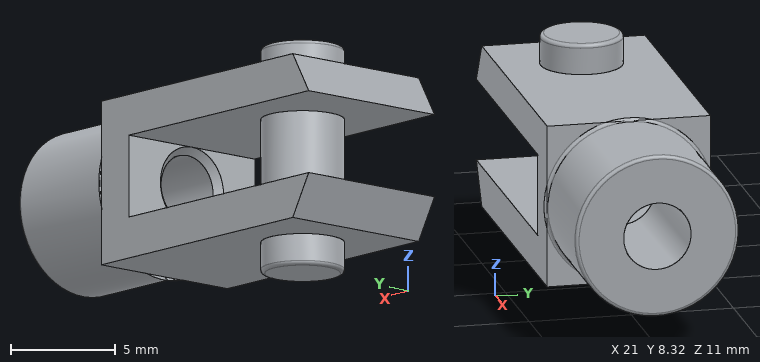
import cadquery as cq
import math

total_length = 21.0
body_width = 8.0
body_length = 15.0
slot_height = body_width / 2
slot_depth = 13.0
tip_angle = 60.0

neck_diameter = body_width
neck_edge_fillet = 0.17
root_fillet = 0.158
bore_diameter = 3.3
countersink_diameter = slot_height

pin_diameter = slot_height
pin_length = 11.0
pin_x = 5.0
pin_edge_fillet = 0.19


def make_fork():
    """Side outline of the fork, extruded across the full width."""
    outer = body_width / 2
    inner = slot_height / 2
    tip_setback = (outer - inner) / math.tan(math.radians(tip_angle))
    outline = [
        (tip_setback, outer),
        (body_length, outer),
        (body_length, -outer),
        (tip_setback, -outer),
        (0, -inner),
        (slot_depth, -inner),
        (slot_depth, inner),
        (0, inner),
    ]
    return cq.Workplane("XZ").polyline(outline).close().extrude(outer, both=True)


def make_neck():
    """Revolved neck with a concave fillet at its root and a rounded free end."""
    radius = neck_diameter / 2
    arc_offset = root_fillet * (1 - math.sqrt(0.5))
    profile = (
        cq.Workplane("XY")
        .moveTo(slot_depth, 0)
        .lineTo(slot_depth, slot_height / 2)
        .lineTo(body_length, slot_height / 2)
        .lineTo(body_length, radius + root_fillet)
        .threePointArc(
            (body_length + arc_offset, radius + arc_offset),
            (body_length + root_fillet, radius),
        )
        .lineTo(total_length, radius)
        .lineTo(total_length, 0)
        .close()
    )
    neck = profile.revolve(360, (0, 0, 0), (1, 0, 0))
    return neck.faces(">X").edges().fillet(neck_edge_fillet)


def make_bore():
    """Axial hole from the +X end into the slot, with a 45 degree countersink at the slot wall."""
    bore_radius = bore_diameter / 2
    mouth_radius = countersink_diameter / 2
    countersink_depth = mouth_radius - bore_radius
    profile = (
        cq.Workplane("XY")
        .moveTo(slot_depth, 0)
        .lineTo(slot_depth, mouth_radius)
        .lineTo(slot_depth + countersink_depth, bore_radius)
        .lineTo(total_length, bore_radius)
        .lineTo(total_length, 0)
        .close()
    )
    return profile.revolve(360, (0, 0, 0), (1, 0, 0))


def make_pin():
    """Straight pin with both end edges rounded."""
    return (
        cq.Workplane("XY", origin=(pin_x, 0, -pin_length / 2))
        .circle(pin_diameter / 2)
        .extrude(pin_length)
        .faces("<Z or >Z")
        .edges()
        .fillet(pin_edge_fillet)
    )


result = make_fork().union(make_neck()).cut(make_bore()).union(make_pin())